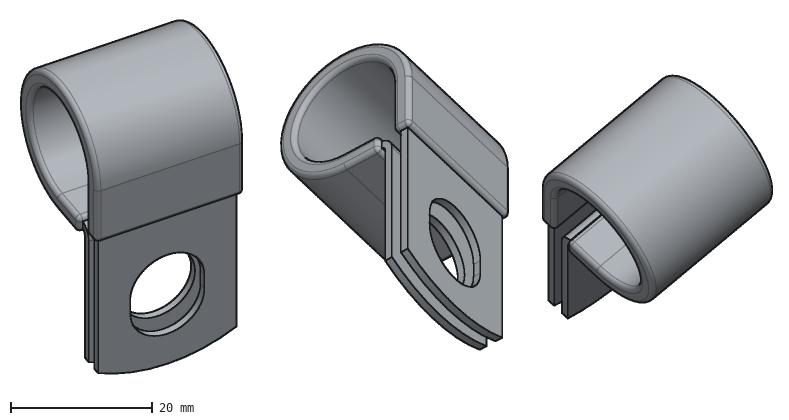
import cadquery as cq
import math


tube_radius = 17.462 / 2
cushion_thickness = 0.794
cushion_round = 0.762
strap_thickness = 1.214
strap_width = 22.225
bend_inner_radius = 1.05
cushion_drop = 9.53
cushion_floor_length = 6.09
hole_diameter = 11.906
hole_z = -23.8
slot_stretch = 1.24
leg_bottom_z = -36.5
tip_radius = 25.4

leg_gap = 2 * cushion_thickness
strap_inner_radius = tube_radius + cushion_thickness
strap_outer_radius = strap_inner_radius + strap_thickness
cushion_outer_radius = strap_outer_radius + cushion_thickness
cushion_width = strap_width + 2 * cushion_thickness
bend_outer_radius = bend_inner_radius + strap_thickness
inner_leg_x = strap_inner_radius - leg_gap
bend_start_x = inner_leg_x - bend_outer_radius
bend_center_z = -strap_inner_radius - bend_outer_radius
diagonal = math.sqrt(0.5)


def loop_band(inner_radius, outer_radius, floor_end_x, side_end_z, width):
    """Three-quarter ring with a straight floor and a straight right-hand side."""
    return (
        cq.Workplane("XZ")
        .moveTo(floor_end_x, -outer_radius)
        .lineTo(0, -outer_radius)
        .threePointArc((-outer_radius * diagonal, outer_radius * diagonal), (outer_radius, 0))
        .lineTo(outer_radius, side_end_z)
        .lineTo(inner_radius, side_end_z)
        .lineTo(inner_radius, 0)
        .threePointArc((-inner_radius * diagonal, inner_radius * diagonal), (0, -inner_radius))
        .lineTo(floor_end_x, -inner_radius)
        .close()
        .extrude(width / 2, both=True)
    )


def make_cushion():
    """Rubber sleeve with all its outer edges rounded."""
    band = loop_band(
        tube_radius, cushion_outer_radius, cushion_floor_length, -cushion_drop, cushion_width
    )
    return band.edges().fillet(cushion_round)


def make_bent_leg():
    """Leg that turns down from the floor of the loop through a quarter bend."""
    return (
        cq.Workplane("XZ")
        .moveTo(bend_start_x, -strap_inner_radius)
        .threePointArc(
            (bend_start_x + bend_outer_radius * diagonal, bend_center_z + bend_outer_radius * diagonal),
            (inner_leg_x, bend_center_z),
        )
        .lineTo(inner_leg_x, leg_bottom_z)
        .lineTo(inner_leg_x - strap_thickness, leg_bottom_z)
        .lineTo(inner_leg_x - strap_thickness, bend_center_z)
        .threePointArc(
            (bend_start_x + bend_inner_radius * diagonal, bend_center_z + bend_inner_radius * diagonal),
            (bend_start_x, -strap_outer_radius),
        )
        .close()
        .extrude(strap_width / 2, both=True)
    )


def make_strap():
    """Metal strap: loop, straight leg and bent leg, before the legs are trimmed."""
    loop = loop_band(strap_inner_radius, strap_outer_radius, bend_start_x, leg_bottom_z, strap_width)
    return loop.union(make_bent_leg())


def along_x(sketch):
    """Extrude a YZ outline through both legs."""
    return sketch.extrude(cushion_outer_radius, both=True)


def round_leg_tips(strap):
    """Trim the lower ends of both legs to a shallow arc."""
    tip_envelope = along_x(
        cq.Workplane("YZ").center(0, leg_bottom_z + tip_radius).circle(tip_radius)
    )
    leg_end_height = hole_z - leg_bottom_z
    leg_ends = along_x(
        cq.Workplane("YZ").center(0, hole_z - leg_end_height / 2).rect(strap_width, leg_end_height)
    )
    return strap.cut(leg_ends.cut(tip_envelope))


def cut_screw_openings(strap):
    """Cut a round hole through both legs and stretch it to an upright slot in the straight leg."""
    hole = along_x(cq.Workplane("YZ").center(0, hole_z).circle(hole_diameter / 2))
    slot_length = hole_diameter + 2 * slot_stretch
    slot = (
        cq.Workplane("YZ", origin=(strap_inner_radius, 0, hole_z))
        .slot2D(slot_length, hole_diameter, 90)
        .extrude(strap_thickness)
    )
    return strap.cut(hole).cut(slot)


strap = cut_screw_openings(round_leg_tips(make_strap()))
result = make_cushion().union(strap)